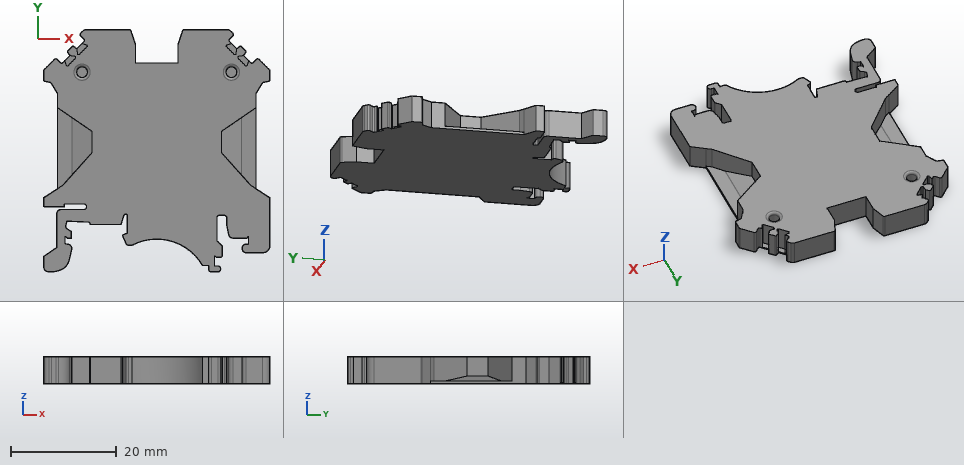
import cadquery as cq
import math

THICKNESS = 5.15
HALF_WIDTH = 21.4
HALF_HEIGHT = 22.9
HALF_WAIST = 18.8

NOTCH_HALF_WIDTH = 4.0
NOTCH_HALF_MOUTH = 4.95
NOTCH_FLOOR_Y = 16.6
NOTCH_TAPER_Y = 20.05

HOLDER_X = -16.4
HOLDER_Y = 19.3
SHOULDER_DEPTH = -0.65
HOLDER_HALF_LENGTH = 3.1
HOLDER_DEPTH = 0.9
TOOTH_TIP_HALF = 0.8
TOOTH_ROOT_HALF = 0.9
POCKET_DEPTH = 2.0
POCKET_INNER_START = 0.27
POCKET_INNER_END = 2.75
POCKET_MOUTH_END = 2.3
POCKET_FLOOR_Z = 0.27
POCKET_CHAMFER = 0.25
POCKET_END_CHAMFER = 0.1

RECESS_TOP_Y = 8.15
RECESS_UPPER_Y = 3.65
RECESS_LOWER_Y = -0.35
RECESS_BEND_X = 17.75
RECESS_BEND_Y = -6.55
RECESS_BOTTOM_Y = -7.2
RECESS_INNER_X = 12.25
RAMP_START_X = 16.0
RIM_Z = 0.5
RAMP_TOP_Z = 1.45

HOLE_X = 14.1
HOLE_Y = 14.85
HOLE_DIAMETER = 2.0
HOLE_MOUTH_DIAMETER = 3.05
HOLE_DEPTH = 2.3

ARCH_RADIUS = 10.0
ARCH_TOP_Y = -16.7
ARCH_CENTER_Y = ARCH_TOP_Y - ARCH_RADIUS
LUG_BOTTOM_Y = -17.85
TONGUE_TOP_Y = -21.7

HIP_Y = -8.9
SLOT_TOP_Y = -10.08
SLOT_BOTTOM_Y = -11.1
SLOT_END_X = -13.3
SLOT_RADIUS = 0.45
CLIP_ARM_X = -18.9


def holder_point(along, depth):
    """Plan position of a point of the left marker holder."""
    diagonal = math.sqrt(0.5)
    return (HOLDER_X + (along + depth) * diagonal, HOLDER_Y + (along - depth) * diagonal)


def holder_corner(along, depth, radius):
    return (*holder_point(along, depth), radius)


def mirrored(corners):
    """Mirror corners across X = 0 and keep the outline direction."""
    return [(-corner[0], *corner[1:]) for corner in reversed(corners)]


def rounded_outline(corners):
    """Closed sketch through (x, y, radius) corners; radius 0 leaves a corner sharp."""
    sketch = None
    for index, (x, y, radius) in enumerate(corners):
        corner = cq.Vector(x, y)
        to_previous = (cq.Vector(*corners[index - 1][:2]) - corner).normalized()
        to_next = (cq.Vector(*corners[(index + 1) % len(corners)][:2]) - corner).normalized()
        half_angle = to_previous.getAngle(to_next) / 2
        setback = radius / math.tan(half_angle)
        start = corner + to_previous * setback
        sketch = sketch.lineTo(start.x, start.y) if sketch else cq.Workplane().moveTo(start.x, start.y)
        if radius > 0:
            end = corner + to_next * setback
            bisector = (to_previous + to_next).normalized()
            middle = corner + bisector * (radius / math.sin(half_angle) - radius)
            sketch = sketch.threePointArc((middle.x, middle.y), (end.x, end.y))
    return sketch.close()


def arch_half_width(y):
    """Half the width of the round clearance at height y."""
    return math.sqrt(ARCH_RADIUS**2 - (y - ARCH_CENTER_Y) ** 2)


shoulder_offset = SHOULDER_DEPTH * math.sqrt(2)
shoulder_top_x = HOLDER_X + HALF_HEIGHT - HOLDER_Y + shoulder_offset
shoulder_side_y = HOLDER_Y - HALF_WIDTH - HOLDER_X - shoulder_offset

upper_left = [
    (-NOTCH_HALF_WIDTH, NOTCH_FLOOR_Y, 0),
    (-NOTCH_HALF_WIDTH, NOTCH_TAPER_Y, 0),
    (-NOTCH_HALF_MOUTH, HALF_HEIGHT, 0.35),
    (shoulder_top_x, HALF_HEIGHT, 0.9),
    holder_corner(HOLDER_HALF_LENGTH, SHOULDER_DEPTH, 0.35),
    holder_corner(HOLDER_HALF_LENGTH, HOLDER_DEPTH, 0.27),
    holder_corner(TOOTH_ROOT_HALF, HOLDER_DEPTH, 0),
    holder_corner(TOOTH_TIP_HALF, 0, 0.2),
    holder_corner(-TOOTH_TIP_HALF, 0, 0.2),
    holder_corner(-TOOTH_ROOT_HALF, HOLDER_DEPTH, 0),
    holder_corner(-HOLDER_HALF_LENGTH, HOLDER_DEPTH, 0.27),
    holder_corner(-HOLDER_HALF_LENGTH, SHOULDER_DEPTH, 0.35),
    (-HALF_WIDTH, shoulder_side_y, 0.25),
    (-HALF_WIDTH, 13.15, 0.27),
    (-20.0, 12.85, 0.45),
    (-HALF_WAIST, 10.8, 0),
    (-HALF_WAIST, RECESS_BOTTOM_Y, 0),
    (-HALF_WIDTH, HIP_Y, 0.2),
]

left_foot = [
    (-HALF_WIDTH, -10.6, 0.2),
    (-17.45, -10.6, 0),
    (-17.45, SLOT_TOP_Y, 0.1),
    (SLOT_END_X, SLOT_TOP_Y, SLOT_RADIUS),
    (SLOT_END_X, SLOT_BOTTOM_Y, SLOT_RADIUS),
    (CLIP_ARM_X, SLOT_BOTTOM_Y, 0.85),
    (CLIP_ARM_X, -18.27, 0),
    (-HALF_WIDTH, -19.95, 0.2),
    (-HALF_WIDTH, -HALF_HEIGHT, 1.05),
    (-19.45, -HALF_HEIGHT, 3.65),
    (-16.9, -22.25, 2.75),
    (-15.85, -17.8, 0.82),
    (-17.3, -17.55, 0),
    (-17.3, -16.15, 0),
    (-16.85, -16.55, 0),
    (-16.1, -16.55, 0),
    (-16.1, -15.25, 0.25),
    (-17.25, -14.5, 0.55),
    (-16.95, -13.35, 0),
    (-12.75, -13.5, 0),
    (-12.55, -13.95, 0),
    (-6.75, -13.95, 0),
    (-6.15, -12.0, 0.3),
    (-5.6, -12.0, 0.15),
]

right_foot = [
    (-5.6, -15.55, 0),
    (-6.55, -15.9, 0.3),
    (-5.7, LUG_BOTTOM_Y, 0.45),
    (-arch_half_width(LUG_BOTTOM_Y), LUG_BOTTOM_Y, 0),
    (arch_half_width(TONGUE_TOP_Y), TONGUE_TOP_Y, 0),
    (9.8, TONGUE_TOP_Y, 0),
    (9.8, -HALF_HEIGHT, 0.5),
    (12.1, -HALF_HEIGHT, 0.55),
    (12.1, -21.75, 0.55),
    (10.95, -21.75, 0),
    (10.95, -19.92, 0),
    (11.3, -20.15, 0),
    (12.4, -20.15, 0.4),
    (12.4, -18.0, 0.15),
    (11.4, -17.05, 0),
    (11.4, -12.25, 0.35),
    (13.2, -12.25, 0.35),
    (13.2, -13.95, 0),
    (13.7, -16.55, 0.9),
    (17.05, -16.55, 0),
    (17.3, -16.15, 0),
    (17.3, -17.65, 0),
    (16.1, -17.65, 0.8),
    (16.1, -19.3, 0.8),
    (HALF_WIDTH, -19.3, 1.37),
]


def side_recess(side):
    """Side recess cutter: flat rim outside, floor ramping up inward."""
    plan = cq.Workplane().polyline([
        (side * HALF_WAIST, RECESS_TOP_Y),
        (side * RECESS_INNER_X, RECESS_UPPER_Y),
        (side * RECESS_INNER_X, RECESS_LOWER_Y),
        (side * RECESS_BEND_X, RECESS_BEND_Y),
        (side * HALF_WAIST, RECESS_BOTTOM_Y),
        (side * HALF_WIDTH, HIP_Y),
        (side * HALF_WIDTH, RECESS_TOP_Y),
    ]).close().extrude(THICKNESS)
    section = cq.Workplane("XZ").polyline([
        (side * HALF_WIDTH, RIM_Z),
        (side * RAMP_START_X, RIM_Z),
        (side * RECESS_INNER_X, RAMP_TOP_Z),
        (side * RECESS_INNER_X, THICKNESS),
        (side * HALF_WIDTH, THICKNESS),
    ]).close().extrude(HALF_HEIGHT, both=True)
    return plan.intersect(section)


def marker_pocket(end):
    """Flared pocket beside the left holder's tooth; end is +1 above the tooth and -1 below."""
    lip_depth = POCKET_DEPTH - POCKET_CHAMFER
    corners = [
        holder_point(end * TOOTH_ROOT_HALF, HOLDER_DEPTH),
        holder_point(end * POCKET_INNER_START, lip_depth),
        holder_point(end * (POCKET_INNER_START + POCKET_CHAMFER), POCKET_DEPTH),
        holder_point(end * (POCKET_INNER_END - POCKET_END_CHAMFER), POCKET_DEPTH),
        holder_point(end * POCKET_INNER_END, lip_depth),
        holder_point(end * POCKET_MOUTH_END, HOLDER_DEPTH),
    ]
    return cq.Workplane().workplane(offset=POCKET_FLOOR_Z).polyline(corners).close().extrude(THICKNESS)


def test_hole(side):
    """Blind hole with a rounded mouth."""
    mouth_radius = HOLE_MOUTH_DIAMETER / 2
    hole_radius = HOLE_DIAMETER / 2
    rounding = mouth_radius - hole_radius
    inset = rounding * math.sqrt(0.5)
    profile = (
        cq.Workplane("XZ")
        .moveTo(0, THICKNESS)
        .lineTo(mouth_radius, THICKNESS)
        .threePointArc(
            (mouth_radius - inset, THICKNESS - rounding + inset),
            (hole_radius, THICKNESS - rounding),
        )
        .lineTo(hole_radius, THICKNESS - HOLE_DEPTH)
        .lineTo(0, THICKNESS - HOLE_DEPTH)
        .close()
    )
    hole = profile.revolve(360, (0, 0), (0, 1))
    return hole.translate((side * HOLE_X, HOLE_Y, 0))


outline = upper_left + left_foot + right_foot + mirrored(upper_left)
body = rounded_outline(outline).extrude(THICKNESS)

arch = cq.Workplane().center(0, ARCH_CENTER_Y).circle(ARCH_RADIUS).extrude(THICKNESS)
body = body.cut(arch)

for side in (-1, 1):
    body = body.cut(side_recess(side))
    body = body.cut(test_hole(side))

for end in (-1, 1):
    pocket = marker_pocket(end)
    body = body.cut(pocket).cut(pocket.mirror("YZ"))

result = body